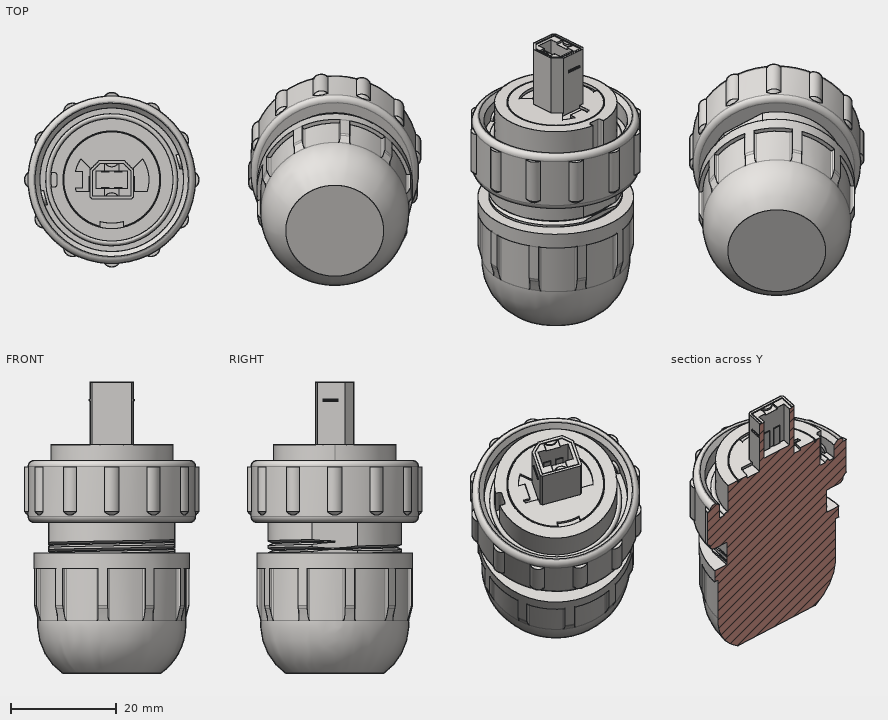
import cadquery as cq
import math

JOINT_OVERLAP = 1.0

PANEL_BOTTOM_Z = 10.0
PANEL_TOP_Z = 19.86
CAP_TOP_Z = 22.83
NUT_BOTTOM_Z = 28.54
RECESS_FLOOR_Z = 36.0
NUT_TOP_Z = 40.3
BODY_TOP_Z = 43.27
PLUG_TOP_Z = 55.12

CAP_RADIUS = 14.75
PANEL_RADIUS = 14.0
DOME_MID_RADIUS = 11.95
DOME_MID_Z = 2.7
CAP_END_RADIUS = 9.26
CAP_RIB_COUNT = 10
CAP_RIB_PHASE = 11.4
CAP_RIB_CREST_WIDTH = 1.85
CAP_RIB_FILLET = 0.3
CAP_RIB_TAPER_Z = 12.3
CAP_RIB_TAPER_RADIUS = 14.6
CAP_RIB_CREST_Z = 12.88

NECK_RADIUS = 12.67
NECK_FLAT_X = 11.92
THREAD_PITCH = 1.35
THREAD_TURNS = 3
THREAD_TOP_Z = 24.95
THREAD_DEPTH = 0.85
GROOVE_WIDTH = 1.0
GROOVE_ROOT_WIDTH = 0.2
GROOVE_MOUTH_CLEARANCE = 0.1

NUT_RADIUS = 15.85
NUT_EDGE_RADIUS = 1.15
NUT_BORE_TOP_RADIUS = 14.5
NUT_BORE_RADIUS = 13.58
NUT_RIB_COUNT = 12
NUT_RIB_REACH = 16.51
NUT_RIB_RADIUS = 1.72
NUT_RIB_BOTTOM_Z = 30.0
NUT_RIB_TOP_Z = 39.1
NUT_RIB_CHAMFER = 0.6
PIN_COUNT = 2
PIN_ANGLE = 15.0
PIN_RADIUS = 1.4
PIN_INNER_RADIUS = 12.98

BODY_RADIUS = 11.59
SEAL_OUTER_RADIUS = 12.5
SEAL_OVERLAP = 0.05
KEYWAY_WIDTH = 2.7
KEYWAY_FLOOR_X = 10.38
KEYWAY_FILLET = 0.45
RING_GROOVE_INNER = 9.07
RING_GROOVE_OUTER = 9.25
FACE_RECESS_DEPTH = 0.6
NOTCH_WIDTH = 4.36
NOTCH_INNER_RADIUS = 8.2
FAN_RADIUS = 7.05
FAN_BOTTOM_Y = -2.25
FAN_SLANT_OFFSET = 1.9
FAN_TAB_WIDTH = 3.2
FAN_TAB_INNER_X = 5.57

PLUG_HALF_WIDTH = 4.1
PLUG_HALF_DEPTH = 3.6
PLUG_KEY_CHAMFER = 1.7
PLUG_FRONT_CHAMFER = 0.35
PLUG_WALL = 0.5
INSERT_RECESS = 0.2
SOCKET_WIDTH = 5.92
SOCKET_DEPTH = 3.3
SOCKET_BOTTOM_Z = 45.5
CHANNEL_WIDTH = 2.8
CHANNEL_RECESS = 0.6
TONGUE_HALF_WIDTH = 1.2
TONGUE_LENGTH = 0.65
CONTACT_INNER_X = 0.5
CONTACT_OUTER_X = 1.9
CONTACT_THICKNESS = 0.15
CONTACT_TOP_Z = 50.0
CATCH_Z = 51.7
CATCH_HEIGHT = 0.5
CATCH_REACH = 0.17
CATCH_TIP_HEIGHT = 0.2
CATCH_BACK_Y = 0.66
CATCH_FRONT_Y = -2.25


def cylinder(radius, bottom_z, top_z):
    return cq.Workplane("XY").workplane(offset=bottom_z).circle(radius).extrude(top_z - bottom_z)


def box(x_range, y_range, z_range):
    spans = [high - low for low, high in (x_range, y_range, z_range)]
    corner = (x_range[0], y_range[0], z_range[0])
    return cq.Workplane("XY").box(*spans, centered=False).translate(corner)


def turned(solid, angle):
    return solid.rotate((0, 0, 0), (0, 0, 1), angle)


def ring_of(solid, count, phase=0.0):
    """Union of copies of a solid spaced evenly about Z."""
    ring = turned(solid, phase)
    for index in range(1, count):
        ring = ring.union(turned(solid, phase + 360.0 * index / count))
    return ring


def revolved(profile):
    return profile.close().revolve(360, (0, 0, 0), (0, 1, 0))


def make_cap_rib():
    """Radial rib with filleted roots whose lower end slopes into the panel radius."""
    root_x = PANEL_RADIUS - JOINT_OVERLAP
    crest_x = CAP_RADIUS + JOINT_OVERLAP
    crest_half = CAP_RIB_CREST_WIDTH / 2
    root_half = crest_half + CAP_RIB_FILLET
    panel_x = math.sqrt(PANEL_RADIUS**2 - root_half**2)
    fillet_top_x = panel_x + CAP_RIB_FILLET
    fillet_mid = CAP_RIB_FILLET * (1 - math.sqrt(0.5))
    mid_x = panel_x + fillet_mid
    mid_y = crest_half + fillet_mid
    bar = (
        cq.Workplane("XY").workplane(offset=PANEL_BOTTOM_Z)
        .moveTo(root_x, -root_half)
        .lineTo(panel_x, -root_half)
        .threePointArc((mid_x, -mid_y), (fillet_top_x, -crest_half))
        .lineTo(crest_x, -crest_half)
        .lineTo(crest_x, crest_half)
        .lineTo(fillet_top_x, crest_half)
        .threePointArc((mid_x, mid_y), (panel_x, root_half))
        .lineTo(root_x, root_half)
        .close()
        .extrude(PANEL_TOP_Z - PANEL_BOTTOM_Z)
    )
    envelope = revolved(
        cq.Workplane("XZ")
        .moveTo(0, PANEL_BOTTOM_Z)
        .lineTo(PANEL_RADIUS, PANEL_BOTTOM_Z)
        .lineTo(CAP_RIB_TAPER_RADIUS, CAP_RIB_TAPER_Z)
        .lineTo(CAP_RADIUS, CAP_RIB_CREST_Z)
        .lineTo(CAP_RADIUS, PANEL_TOP_Z)
        .lineTo(0, PANEL_TOP_Z)
    )
    return bar.intersect(envelope)


def make_cap():
    core = revolved(
        cq.Workplane("XZ")
        .lineTo(CAP_END_RADIUS, 0)
        .threePointArc((DOME_MID_RADIUS, DOME_MID_Z), (PANEL_RADIUS, PANEL_BOTTOM_Z))
        .lineTo(PANEL_RADIUS, PANEL_TOP_Z)
        .lineTo(CAP_RADIUS, PANEL_TOP_Z)
        .lineTo(CAP_RADIUS, CAP_TOP_Z)
        .lineTo(0, CAP_TOP_Z)
    )
    return core.union(ring_of(make_cap_rib(), CAP_RIB_COUNT, CAP_RIB_PHASE))


def make_thread_groove():
    """Right-handed trapezoidal groove that ends on the +X flat."""
    length = THREAD_PITCH * THREAD_TURNS
    root_radius = NECK_RADIUS - THREAD_DEPTH
    mouth_radius = NECK_RADIUS + GROOVE_MOUTH_CLEARANCE
    path = cq.Wire.makeHelix(THREAD_PITCH, length, root_radius)
    groove = (
        cq.Workplane("XZ")
        .moveTo(root_radius, -GROOVE_ROOT_WIDTH / 2)
        .lineTo(mouth_radius, -GROOVE_WIDTH / 2)
        .lineTo(mouth_radius, GROOVE_WIDTH / 2)
        .lineTo(root_radius, GROOVE_ROOT_WIDTH / 2)
        .close()
        .sweep(cq.Workplane(path), isFrenet=True)
    )
    return groove.translate((0, 0, THREAD_TOP_Z - length))


def make_neck():
    bottom_z = PANEL_TOP_Z
    neck = cylinder(NECK_RADIUS, bottom_z, NUT_BOTTOM_Z + JOINT_OVERLAP)
    neck = neck.cut(make_thread_groove())
    flats = box(
        (-NECK_FLAT_X, NECK_FLAT_X),
        (-NECK_RADIUS, NECK_RADIUS),
        (bottom_z, NUT_BOTTOM_Z + JOINT_OVERLAP),
    )
    return neck.intersect(flats)


def make_nut_rib():
    rib = cylinder(NUT_RIB_RADIUS, NUT_RIB_BOTTOM_Z, NUT_RIB_TOP_Z)
    rib = rib.faces("<Z").chamfer(NUT_RIB_CHAMFER)
    return rib.translate((NUT_RIB_REACH - NUT_RIB_RADIUS, 0, 0))


def make_nut():
    nut = cylinder(NUT_RADIUS, NUT_BOTTOM_Z, NUT_TOP_Z).edges().fillet(NUT_EDGE_RADIUS)
    nut = nut.union(ring_of(make_nut_rib(), NUT_RIB_COUNT))
    lead_in_height = NUT_BORE_TOP_RADIUS - NUT_BORE_RADIUS
    bore = revolved(
        cq.Workplane("XZ")
        .moveTo(0, RECESS_FLOOR_Z)
        .lineTo(NUT_BORE_RADIUS, RECESS_FLOOR_Z)
        .lineTo(NUT_BORE_RADIUS, NUT_TOP_Z - lead_in_height)
        .lineTo(NUT_BORE_TOP_RADIUS, NUT_TOP_Z)
        .lineTo(0, NUT_TOP_Z)
    )
    pin = (
        cq.Workplane("YZ").workplane(offset=PIN_INNER_RADIUS)
        .center(0, RECESS_FLOOR_Z)
        .circle(PIN_RADIUS)
        .extrude(NUT_BORE_TOP_RADIUS - PIN_INNER_RADIUS)
    )
    return nut.cut(bore).union(ring_of(pin, PIN_COUNT, PIN_ANGLE))


def make_fan_recess():
    """Sector beside the plug, bounded by an arc, a 45 degree side and a straight side."""
    floor_z = BODY_TOP_Z - FACE_RECESS_DEPTH
    low_x = math.sqrt(FAN_RADIUS**2 - FAN_BOTTOM_Y**2)
    half_offset = FAN_SLANT_OFFSET / 2
    half_sum = math.sqrt(FAN_RADIUS**2 / 2 - half_offset**2)
    high_point = (half_sum + half_offset, half_sum - half_offset)
    inner_x = PLUG_HALF_WIDTH
    return (
        cq.Workplane("XY").workplane(offset=floor_z)
        .moveTo(inner_x, FAN_BOTTOM_Y)
        .lineTo(low_x, FAN_BOTTOM_Y)
        .threePointArc((FAN_RADIUS, 0), high_point)
        .lineTo(inner_x, inner_x - FAN_SLANT_OFFSET)
        .close()
        .extrude(FACE_RECESS_DEPTH)
    )


def make_body():
    body = cylinder(BODY_RADIUS, NUT_BOTTOM_Z, BODY_TOP_Z)
    floor_z = BODY_TOP_Z - FACE_RECESS_DEPTH
    face_span = (floor_z, BODY_TOP_Z)

    keyway = box(
        (-BODY_RADIUS - JOINT_OVERLAP, -KEYWAY_FLOOR_X),
        (-KEYWAY_WIDTH / 2, KEYWAY_WIDTH / 2),
        (RECESS_FLOOR_Z, BODY_TOP_Z),
    )
    body = body.cut(keyway.edges("|Z and >X").fillet(KEYWAY_FILLET))

    ring_groove = cylinder(RING_GROOVE_OUTER, *face_span).cut(cylinder(RING_GROOVE_INNER, *face_span))
    body = body.cut(ring_groove)

    notch = box((-NOTCH_WIDTH / 2, NOTCH_WIDTH / 2), (-RING_GROOVE_OUTER, 0), face_span)
    notch = notch.intersect(cylinder(RING_GROOVE_OUTER, *face_span))
    body = body.cut(notch.cut(cylinder(NOTCH_INNER_RADIUS, *face_span)))

    fan = make_fan_recess()
    tab = box(
        (-FAN_RADIUS, -FAN_TAB_INNER_X),
        (-FAN_TAB_WIDTH / 2, FAN_TAB_WIDTH / 2),
        face_span,
    )
    return body.cut(fan).cut(fan.mirror("YZ").cut(tab))


def make_seal():
    """Round seal ring seated half into the recess floor against the body."""
    section_radius = (SEAL_OUTER_RADIUS - BODY_RADIUS) / 2
    center_radius = (SEAL_OUTER_RADIUS + BODY_RADIUS) / 2
    ring_radius = center_radius - SEAL_OVERLAP
    section = cq.Workplane("XZ").center(ring_radius, RECESS_FLOOR_Z).circle(section_radius + SEAL_OVERLAP)
    return section.revolve(360, (-ring_radius, 0, 0), (-ring_radius, 1, 0))


def plug_outline(inset, bottom_z, top_z):
    """Plug prism with two keyed rear corners and small front chamfers."""
    width = 2 * (PLUG_HALF_WIDTH - inset)
    depth = 2 * (PLUG_HALF_DEPTH - inset)
    key_chamfer = PLUG_KEY_CHAMFER - inset * (2 - math.sqrt(2))
    prism = cq.Workplane("XY").workplane(offset=bottom_z).rect(width, depth).extrude(top_z - bottom_z)
    prism = prism.edges("|Z and >Y").chamfer(key_chamfer)
    if inset == 0:
        prism = prism.edges("|Z and <Y").chamfer(PLUG_FRONT_CHAMFER)
    return prism


def make_channel():
    """Front channel in the insert, with a rounded tongue left on the shell wall."""
    insert_y = PLUG_HALF_DEPTH - PLUG_WALL
    floor_z = PLUG_TOP_Z - CHANNEL_RECESS
    channel = box(
        (-CHANNEL_WIDTH / 2, CHANNEL_WIDTH / 2),
        (-insert_y, -SOCKET_DEPTH / 2),
        (floor_z, PLUG_TOP_Z),
    )
    tongue = (
        cq.Workplane("XY").workplane(offset=floor_z)
        .moveTo(-TONGUE_HALF_WIDTH, -insert_y)
        .threePointArc((0, TONGUE_LENGTH - insert_y), (TONGUE_HALF_WIDTH, -insert_y))
        .close()
        .extrude(CHANNEL_RECESS - INSERT_RECESS)
    )
    return channel.cut(tongue)


def make_catch():
    """Small trapezoidal bar on the +X side of the plug."""
    tip_x = PLUG_HALF_WIDTH + CATCH_REACH
    return (
        cq.Workplane("XZ").workplane(offset=-CATCH_BACK_Y)
        .moveTo(PLUG_HALF_WIDTH, CATCH_Z - CATCH_HEIGHT / 2)
        .lineTo(tip_x, CATCH_Z - CATCH_TIP_HEIGHT / 2)
        .lineTo(tip_x, CATCH_Z + CATCH_TIP_HEIGHT / 2)
        .lineTo(PLUG_HALF_WIDTH, CATCH_Z + CATCH_HEIGHT / 2)
        .close()
        .extrude(CATCH_BACK_Y - CATCH_FRONT_Y)
    )


def make_plug():
    plug = plug_outline(0, BODY_TOP_Z - FACE_RECESS_DEPTH, PLUG_TOP_Z)
    insert_top_z = PLUG_TOP_Z - INSERT_RECESS
    plug = plug.cut(plug_outline(PLUG_WALL, insert_top_z, PLUG_TOP_Z))

    half_socket = SOCKET_DEPTH / 2
    socket = box(
        (-SOCKET_WIDTH / 2, SOCKET_WIDTH / 2),
        (-half_socket, half_socket),
        (SOCKET_BOTTOM_Z, PLUG_TOP_Z),
    )
    channel = make_channel()
    plug = plug.cut(socket).cut(channel).cut(channel.mirror("XZ"))

    contact = box(
        (CONTACT_INNER_X, CONTACT_OUTER_X),
        (-half_socket, CONTACT_THICKNESS - half_socket),
        (SOCKET_BOTTOM_Z, CONTACT_TOP_Z),
    )
    contacts = contact.union(contact.mirror("YZ"))
    plug = plug.union(contacts).union(contacts.mirror("XZ"))

    catch = make_catch()
    return plug.union(catch).union(catch.mirror("YZ"))


result = make_cap().union(make_neck()).union(make_nut()).union(make_seal())
result = result.union(make_body()).union(make_plug())